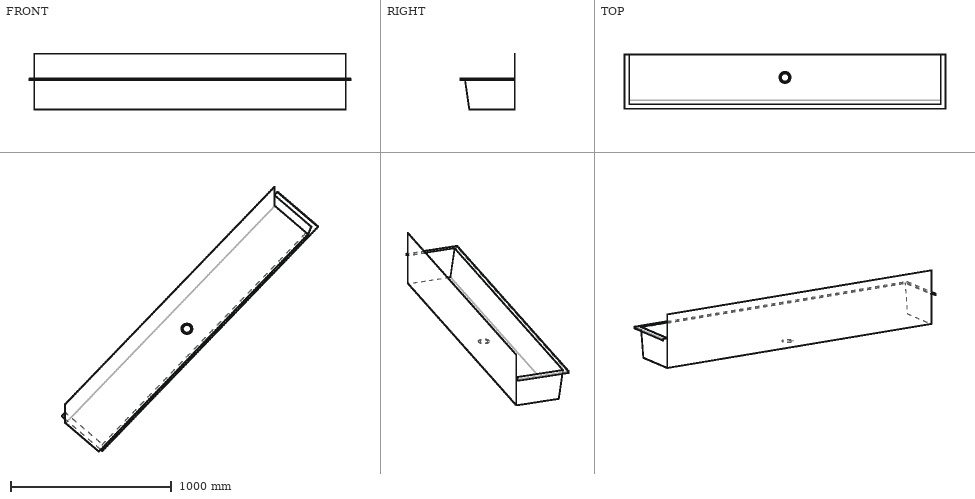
import cadquery as cq

LENGTH = 1998.0
DEPTH = 340.0
HEIGHT = 348.0

SHEET = 1.2
FOLD_INNER_RADIUS = 2.0
FOLD_OUTER_RADIUS = FOLD_INNER_RADIUS + SHEET
RIM_TOP = 194.0
RIM_DROP = 12.0
RIM_WIDTH = 28.0

BASIN_TOP_DEPTH = DEPTH - RIM_WIDTH
BASIN_FLOOR_DEPTH = 284.0
PANEL_LENGTH = 1940.0
BASIN_LENGTH = PANEL_LENGTH - 2 * SHEET

DRAIN_DIAMETER = 50.0
DRAIN_SEAT_DIAMETER = 70.0
DRAIN_FROM_BACK = 144.0
DRAIN_SEAT_DEPTH = SHEET / 2

BACK = DEPTH / 2


def block(length, front, back, bottom, top):
    """Box centred on X between the given Y and Z limits."""
    base = cq.Workplane("XY", origin=(0, front, bottom))
    return base.box(length, back - front, top - bottom, centered=(True, False, False))


def basin_prism(length, inset, bottom, fold_radius):
    """Trough volume with its front and back faces moved inward and its long floor edges rounded."""
    lean = (BASIN_TOP_DEPTH - BASIN_FLOOR_DEPTH) / RIM_TOP
    floor_front = BACK - BASIN_FLOOR_DEPTH - lean * bottom + inset
    rim_front = BACK - BASIN_TOP_DEPTH + inset
    outline = [
        (BACK - inset, bottom),
        (floor_front, bottom),
        (rim_front, RIM_TOP),
        (BACK - inset, RIM_TOP),
    ]
    prism = cq.Workplane("YZ").polyline(outline).close().extrude(length / 2, both=True)
    return prism.edges("|X and <Z").fillet(fold_radius)


rim = block(LENGTH, -BACK, BACK, RIM_TOP - RIM_DROP, RIM_TOP)
rim = rim.faces(">Z").edges("<Y or <X or >X").fillet(FOLD_OUTER_RADIUS)
rim_underside = block(LENGTH - 2 * SHEET, -BACK + SHEET, BACK, RIM_TOP - RIM_DROP, RIM_TOP - SHEET)
rim_underside = rim_underside.faces(">Z").edges("<Y or <X or >X").fillet(FOLD_INNER_RADIUS)
rim = rim.cut(rim_underside)

panel = block(PANEL_LENGTH, BACK - SHEET, BACK, FOLD_OUTER_RADIUS, HEIGHT)

basin = basin_prism(BASIN_LENGTH, 0, 0, FOLD_OUTER_RADIUS)
cavity = basin_prism(BASIN_LENGTH - 2 * SHEET, SHEET, SHEET, FOLD_INNER_RADIUS)
body = rim.union(basin).cut(cavity).union(panel)

drain = cq.Workplane("XY").center(0, BACK - DRAIN_FROM_BACK)
hole = drain.circle(DRAIN_DIAMETER / 2).extrude(SHEET)
seat = drain.workplane(offset=SHEET - DRAIN_SEAT_DEPTH).circle(DRAIN_SEAT_DIAMETER / 2).extrude(DRAIN_SEAT_DEPTH)

result = body.cut(hole).cut(seat)